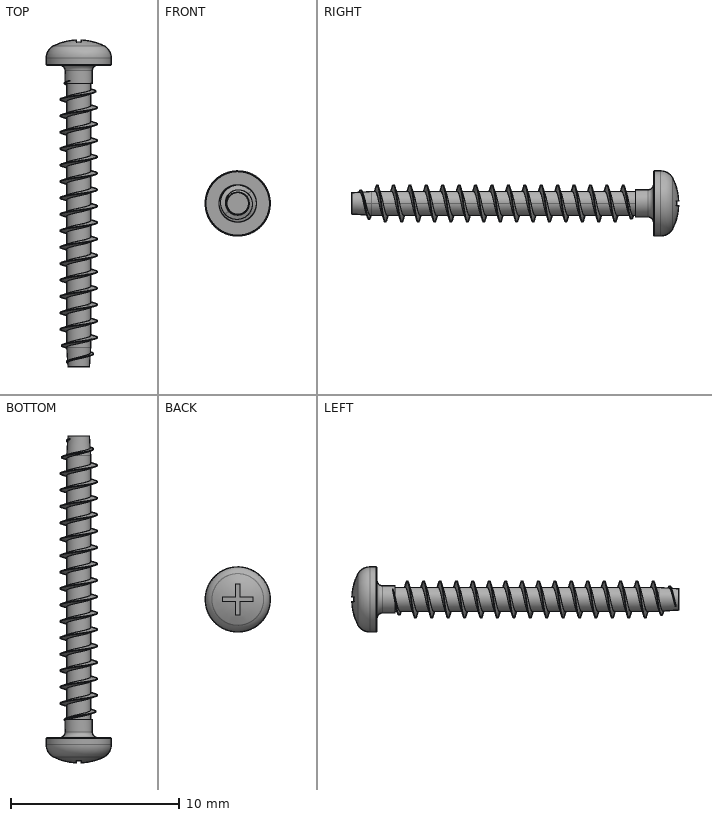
import cadquery as cq
import math

total_length = 19.47

head_radius = 1.95
head_height = 1.52
rim_height = 0.43
rim_chamfer = 0.05
crown_radius = 1.54
crown_drop = 0.37

recess_span = 1.83
recess_width = 0.27
recess_depth = 0.58

neck_radius = 0.82
neck_length = 1.07
neck_fillet = 0.31
core_radius = 0.72
tip_radius = 0.65
tip_taper_length = 1.17

thread_radius = 1.11
thread_root_radius = 0.65
crest_width = 0.04
flank_angle = 15.0
first_crossing = 1.54
last_crossing = 17.17
turns_between = 16
thread_start = -0.7
thread_end = 16.6
fade_in_end = 0.3
fade_out_start = 15.2
start_sink = 0.31
end_sink = 0.4
segment_count = 35
segment_steps = 12

tip_y = head_height - total_length
dome_radius = (crown_radius**2 + crown_drop**2) / (2 * crown_drop)
recess_corner_radius = recess_width / math.sqrt(2)
corner_drop = dome_radius - math.sqrt(dome_radius**2 - recess_corner_radius**2)
apex_y = head_height + corner_drop
pitch = (last_crossing - first_crossing) / turns_between
segment_turns = (thread_end - thread_start) / segment_count


def make_blank():
    """Head, neck and core as one revolved profile."""
    return (
        cq.Workplane("XY")
        .moveTo(0, tip_y)
        .lineTo(tip_radius, tip_y)
        .lineTo(core_radius, tip_y + tip_taper_length)
        .lineTo(core_radius, -neck_length)
        .lineTo(neck_radius, -neck_length)
        .lineTo(neck_radius, -neck_fillet)
        .radiusArc((neck_radius + neck_fillet, 0), neck_fillet)
        .lineTo(head_radius - rim_chamfer, 0)
        .lineTo(head_radius, rim_chamfer)
        .lineTo(head_radius, rim_height)
        .tangentArcPoint((crown_radius, apex_y - crown_drop), relative=False)
        .radiusArc((0, apex_y), -dome_radius)
        .close()
        .revolve(360, (0, 0, 0), (0, 1, 0))
    )


def make_recess():
    """Two crossed slots cut down from the top of the dome."""
    recess_height = recess_depth + corner_drop
    slot = cq.Workplane("XY").box(recess_span, recess_height, recess_width)
    cross = slot.union(slot.rotate((0, 0, 0), (0, 1, 0), 90))
    return cross.translate((0, apex_y - recess_height / 2, 0))


def crest_sink(turn):
    """Radial distance the thread is sunk into the core at each end."""
    if turn < fade_in_end:
        return start_sink * (fade_in_end - turn) / (fade_in_end - thread_start)
    if turn > fade_out_start:
        return end_sink * (turn - fade_out_start) / (thread_end - fade_out_start)
    return 0


def thread_point(turn, radius, axial_offset):
    """Point on a helical thread edge, axial_offset above the thread's centre line."""
    angle = 2 * math.pi * turn
    sunk_radius = radius - crest_sink(turn)
    y = axial_offset - first_crossing - pitch * turn
    return cq.Vector(sunk_radius * math.cos(angle), y, sunk_radius * math.sin(angle))


def make_thread_segment(start_turn):
    """Trapezoidal ridge bounded by four helical faces and two end caps."""
    crest = crest_width / 2
    root = crest + (thread_radius - thread_root_radius) * math.tan(math.radians(flank_angle))
    profile = [
        (thread_root_radius, root),
        (thread_radius, crest),
        (thread_radius, -crest),
        (thread_root_radius, -root),
    ]
    turns = [start_turn + segment_turns * i / segment_steps for i in range(segment_steps + 1)]
    edges = [
        cq.Edge.makeSpline([thread_point(turn, radius, offset) for turn in turns])
        for radius, offset in profile
    ]
    faces = [cq.Face.makeRuledSurface(edges[i - 1], edges[i]) for i in range(len(edges))]
    for turn in (turns[0], turns[-1]):
        corners = [thread_point(turn, radius, offset) for radius, offset in profile]
        faces.append(cq.Face.makeFromWires(cq.Wire.makePolygon(corners, close=True)))
    return cq.Solid.makeSolid(cq.Shell.makeShell(faces))


result = make_blank().cut(make_recess())
for segment in range(segment_count):
    result = result.union(make_thread_segment(thread_start + segment * segment_turns), clean=False)